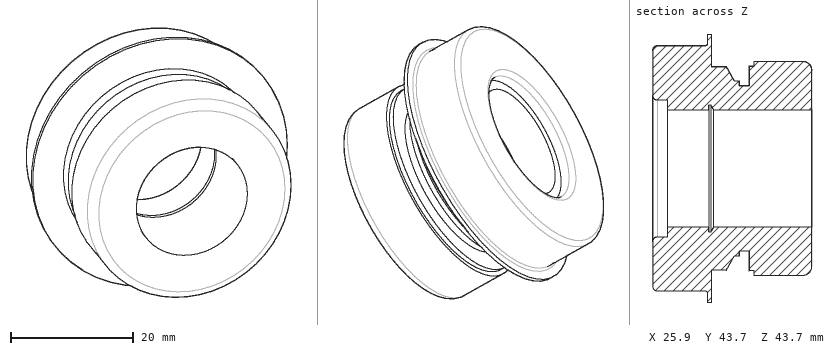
import cadquery as cq
import math

length = 25.9
flange_start = 8.9
flange_end = 9.6
hub_end = 12.0
cone_end = 13.3
collar_end = 14.1
groove_end = 15.7
shoulder_end = 16.45

front_diameter = 39.98
flange_diameter = 43.7
hub_diameter = 33.15
collar_diameter = 28.57
groove_diameter = 27.0
shoulder_diameter = 33.35
rear_diameter = 34.9

bore_diameter = 19.05
counterbore_diameter = 22.25
counterbore_depth = 2.4
relief_diameter = 20.6
relief_start = 9.15
relief_end = 9.9
relief_cone_angle = 60

front_round = 0.75
flange_round = 0.4
counterbore_round = 0.8
rear_round = 1.5


def revolve_about_x(points):
    """Solid of revolution about X from (x, radius) outline points."""
    outline = cq.Workplane("XY").polyline(points).close()
    return outline.revolve(360, (0, 0, 0), (1, 0, 0))


def outer_body():
    steps = [
        (0, flange_start, front_diameter),
        (flange_start, flange_end, flange_diameter),
        (flange_end, hub_end, hub_diameter),
        (cone_end, collar_end, collar_diameter),
        (collar_end, groove_end, groove_diameter),
        (groove_end, shoulder_end, shoulder_diameter),
        (shoulder_end, length, rear_diameter),
    ]
    points = [(0, 0)]
    for start, end, diameter in steps:
        points += [(start, diameter / 2), (end, diameter / 2)]
    points.append((length, 0))
    return revolve_about_x(points)


def bore():
    bore_radius = bore_diameter / 2
    counterbore_radius = counterbore_diameter / 2
    relief_radius = relief_diameter / 2
    cone_length = (relief_radius - bore_radius) / math.tan(math.radians(relief_cone_angle))
    return revolve_about_x([
        (0, 0),
        (0, counterbore_radius),
        (counterbore_depth, counterbore_radius),
        (counterbore_depth, bore_radius),
        (relief_start, bore_radius),
        (relief_start, relief_radius),
        (relief_end - cone_length, relief_radius),
        (relief_end, bore_radius),
        (length, bore_radius),
        (length, 0),
    ])


def circle_at(x, diameter):
    """Selector for the circular edge of the given diameter in the plane at x."""
    radius = diameter / 2
    margin = 0.05
    return cq.selectors.BoxSelector(
        (x - margin, -radius - margin, -radius - margin),
        (x + margin, radius + margin, radius + margin),
        boundingbox=True,
    )


body = outer_body()
body = body.edges(circle_at(0, front_diameter)).fillet(front_round)
body = body.edges(circle_at(flange_start, front_diameter)).fillet(flange_round)
body = body.edges(circle_at(length, rear_diameter)).fillet(rear_round)
body = body.cut(bore())

result = body.edges(circle_at(0, counterbore_diameter)).fillet(counterbore_round)